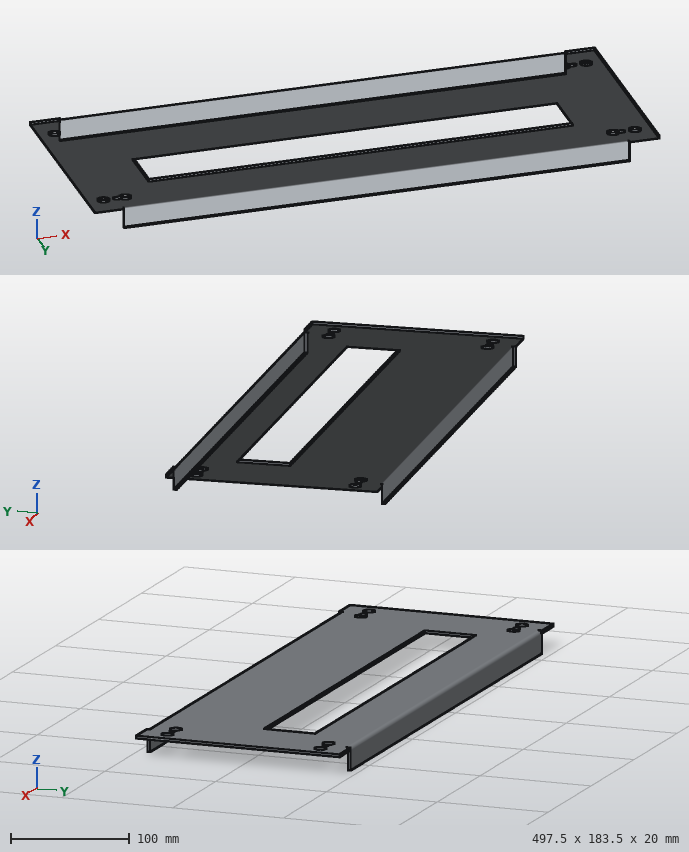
import cadquery as cq

plate_length = 497.5
plate_width = 183.5
part_height = 20.0
sheet_thickness = 2.5

flange_length = 445.5
bend_outer_radius = 3.5
bend_inner_radius = bend_outer_radius - sheet_thickness

window_length = 374.0
window_width = 46.0
window_center_y = 22.75

hole_diameter = 10.0
hole_x = 234.25
hole_y = 69.0
keyhole_x = 215.0
keyhole_slot_width = 5.0
keyhole_slot_reach = 10.5

def make_plate():
    """Flat sheet with its top face at Z = 0."""
    return cq.Workplane("XY").box(
        plate_length, plate_width, sheet_thickness, centered=(True, True, False)
    ).translate((0, 0, -sheet_thickness))

def make_folded_channel():
    """Middle stretch of the sheet with both long edges folded down."""
    outer = cq.Workplane("XY").box(
        flange_length, plate_width, part_height, centered=(True, True, False)
    ).translate((0, 0, -part_height))
    outer = outer.edges("|X and >Z").fillet(bend_outer_radius)

    inner_height = part_height - sheet_thickness
    inner = cq.Workplane("XY").box(
        flange_length, plate_width - 2 * sheet_thickness, inner_height, centered=(True, True, False)
    ).translate((0, 0, -part_height))
    inner = inner.edges("|X and >Z").fillet(bend_inner_radius)
    return outer.cut(inner)

def make_sheet():
    """Folded channel in the middle, flat plate ends on either side."""
    middle_cutter = cq.Workplane("XY").box(flange_length, plate_width, 2 * part_height)
    return make_plate().cut(middle_cutter).union(make_folded_channel())

def through_cutter(sketch):
    """Extrude an outline drawn at Z = 0 both ways through the sheet."""
    return sketch.extrude(part_height, both=True)

def make_window():
    outline = cq.Workplane("XY").center(0, window_center_y).rect(window_length, window_width)
    return through_cutter(outline)

def make_corner_holes(side_x, side_y):
    """Round hole and a keyhole whose slot points at the nearer short edge."""
    y = side_y * hole_y
    rounds = cq.Workplane("XY").pushPoints([(side_x * hole_x, y), (side_x * keyhole_x, y)])
    cutter = through_cutter(rounds.circle(hole_diameter / 2))

    slot_length = keyhole_slot_reach + keyhole_slot_width / 2
    slot_center_x = keyhole_x + keyhole_slot_reach - slot_length / 2
    slot = cq.Workplane("XY").center(side_x * slot_center_x, y).slot2D(slot_length, keyhole_slot_width)
    return cutter.union(through_cutter(slot))

result = make_sheet().cut(make_window())
for side_x in (-1, 1):
    for side_y in (-1, 1):
        result = result.cut(make_corner_holes(side_x, side_y))